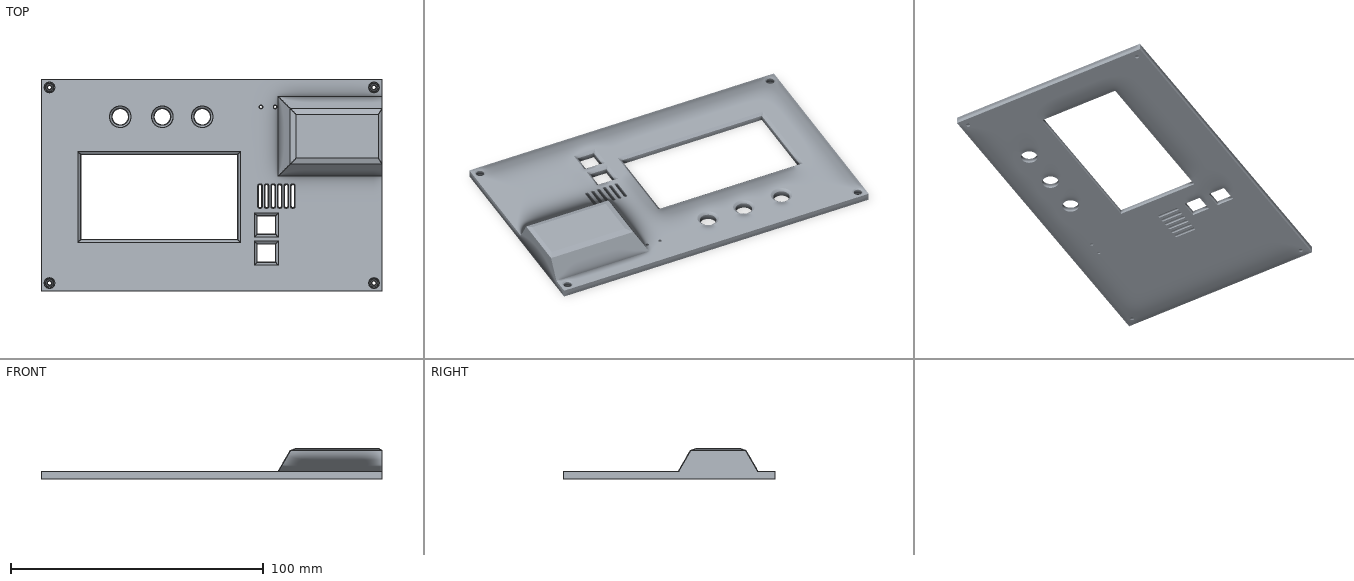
import cadquery as cq
import math

PLATE_LENGTH = 134.8
PLATE_WIDTH = 83.8
PLATE_THICKNESS = 3.0
OVERALL_HEIGHT = 12.07

BEVEL_ANGLE = 50.0
OPENING_BEVEL = 1.15
CONTROL_BEVEL = 1.0

HOUSING_LENGTH = 41.1
HOUSING_WIDTH = 31.5
HOUSING_BACK_MARGIN = 6.8
HOUSING_SLOPE = 30.0
CROWN_HEIGHT = 0.85
CROWN_INSET = 2.35
CROWN_RIGHT_INSET = 1.45

SCREW_MARGIN = 3.2
SCREW_BORE = 1.65
SCREW_HEAD = 3.2
SCREW_HEAD_DEPTH = 2.0
SCREW_BEVEL = 0.5

CONTROL_DIAMETER = 6.5
CONTROL_X = (31.2, 47.85, 63.65)
CONTROL_Y = 69.0

WINDOW_LENGTH = 62.0
WINDOW_WIDTH = 33.6
WINDOW_CENTER = (46.6, 37.25)

BUTTON_SIZE = 7.2
BUTTON_X = 89.0
BUTTON_Y = 15.05
BUTTON_PITCH = 11.1
BUTTON_COUNT = 2

SLOT_LENGTH = 9.1
SLOT_WIDTH = 1.3
SLOT_BEVEL = 0.25
SLOT_CORNER_RADIUS = 0.5
SLOT_PITCH = 2.6
SLOT_COUNT = 6
SLOT_FIRST_X = 86.5
SLOT_Y = 37.6

LIGHT_DIAMETER = 1.3
LIGHT_X = (86.9, 92.5)
LIGHT_Y = 72.9


def rectangle_at(x_min, y_min, x_max, y_max, z):
    """Closed rectangular wire on a horizontal plane."""
    corners = [(x_min, y_min), (x_max, y_min), (x_max, y_max), (x_min, y_max)]
    return cq.Wire.makePolygon([cq.Vector(x, y, z) for x, y in corners], close=True)


def make_plate():
    return cq.Workplane("XY").box(PLATE_LENGTH, PLATE_WIDTH, PLATE_THICKNESS, centered=False)


def make_housing():
    """Sloped body on the plate top, capped by a shallow crown."""
    shoulder_z = OVERALL_HEIGHT - CROWN_HEIGHT
    slope_inset = (shoulder_z - PLATE_THICKNESS) * math.tan(math.radians(HOUSING_SLOPE))
    left = PLATE_LENGTH - HOUSING_LENGTH
    right = PLATE_LENGTH
    back = PLATE_WIDTH - HOUSING_BACK_MARGIN
    front = back - HOUSING_WIDTH
    base = rectangle_at(left, front, right, back, PLATE_THICKNESS)
    shoulder = rectangle_at(left + slope_inset, front + slope_inset, right, back - slope_inset, shoulder_z)
    top_inset = slope_inset + CROWN_INSET
    top = rectangle_at(
        left + top_inset,
        front + top_inset,
        right - CROWN_RIGHT_INSET,
        back - top_inset,
        OVERALL_HEIGHT,
    )
    body = cq.Solid.makeLoft([base, shoulder], True)
    crown = cq.Solid.makeLoft([shoulder, top], True)
    return cq.Workplane(body).union(cq.Workplane(crown))


def circle(diameter):
    return cq.Sketch().circle(diameter / 2)


def slot(length, width, corner_radius):
    """Upright rectangle with rounded corners."""
    return cq.Sketch().rect(width, length).vertices().fillet(corner_radius)


def make_cutter(outline, mouth_outline, bevel, depth=PLATE_THICKNESS):
    """Cutter sunk from the plate top, with a bevel of the given spread widening it to the mouth outline."""
    straight = (
        cq.Workplane("XY", origin=(0, 0, PLATE_THICKNESS - depth))
        .placeSketch(outline)
        .extrude(depth)
    )
    bevel_depth = bevel / math.tan(math.radians(BEVEL_ANGLE))
    mouth = (
        cq.Workplane("XY", origin=(0, 0, PLATE_THICKNESS))
        .placeSketch(mouth_outline)
        .extrude(-bevel_depth, taper=BEVEL_ANGLE)
    )
    return straight.union(mouth)


def make_control_cutter():
    mouth_diameter = CONTROL_DIAMETER + 2 * CONTROL_BEVEL
    return make_cutter(circle(CONTROL_DIAMETER), circle(mouth_diameter), CONTROL_BEVEL)


def make_rectangle_cutter(length, width):
    opening = cq.Sketch().rect(length, width)
    mouth = cq.Sketch().rect(length + 2 * OPENING_BEVEL, width + 2 * OPENING_BEVEL)
    return make_cutter(opening, mouth, OPENING_BEVEL)


def make_slot_cutter():
    opening = slot(SLOT_LENGTH, SLOT_WIDTH, SLOT_CORNER_RADIUS)
    mouth = slot(
        SLOT_LENGTH + 2 * SLOT_BEVEL,
        SLOT_WIDTH + 2 * SLOT_BEVEL,
        SLOT_CORNER_RADIUS + SLOT_BEVEL,
    )
    return make_cutter(opening, mouth, SLOT_BEVEL)


def make_screw_cutter():
    bore = cq.Workplane("XY").circle(SCREW_BORE / 2).extrude(PLATE_THICKNESS)
    mouth = circle(SCREW_HEAD + 2 * SCREW_BEVEL)
    head = make_cutter(circle(SCREW_HEAD), mouth, SCREW_BEVEL, SCREW_HEAD_DEPTH)
    return bore.union(head)


def make_light_cutter():
    return cq.Workplane("XY").circle(LIGHT_DIAMETER / 2).extrude(PLATE_THICKNESS)


def cut_at(panel, cutter, positions):
    """Cut a copy of the cutter at every (x, y) position."""
    for x, y in positions:
        panel = panel.cut(cutter.translate((x, y, 0)))
    return panel


control_positions = [(x, CONTROL_Y) for x in CONTROL_X]
button_positions = [(BUTTON_X, BUTTON_Y + i * BUTTON_PITCH) for i in range(BUTTON_COUNT)]
slot_positions = [(SLOT_FIRST_X + i * SLOT_PITCH, SLOT_Y) for i in range(SLOT_COUNT)]
light_positions = [(x, LIGHT_Y) for x in LIGHT_X]
screw_positions = [
    (x, y)
    for x in (SCREW_MARGIN, PLATE_LENGTH - SCREW_MARGIN)
    for y in (SCREW_MARGIN, PLATE_WIDTH - SCREW_MARGIN)
]

result = make_plate()
result = cut_at(result, make_control_cutter(), control_positions)
result = cut_at(result, make_rectangle_cutter(WINDOW_LENGTH, WINDOW_WIDTH), [WINDOW_CENTER])
result = cut_at(result, make_rectangle_cutter(BUTTON_SIZE, BUTTON_SIZE), button_positions)
result = cut_at(result, make_slot_cutter(), slot_positions)
result = cut_at(result, make_screw_cutter(), screw_positions)
result = cut_at(result, make_light_cutter(), light_positions)
result = result.union(make_housing())